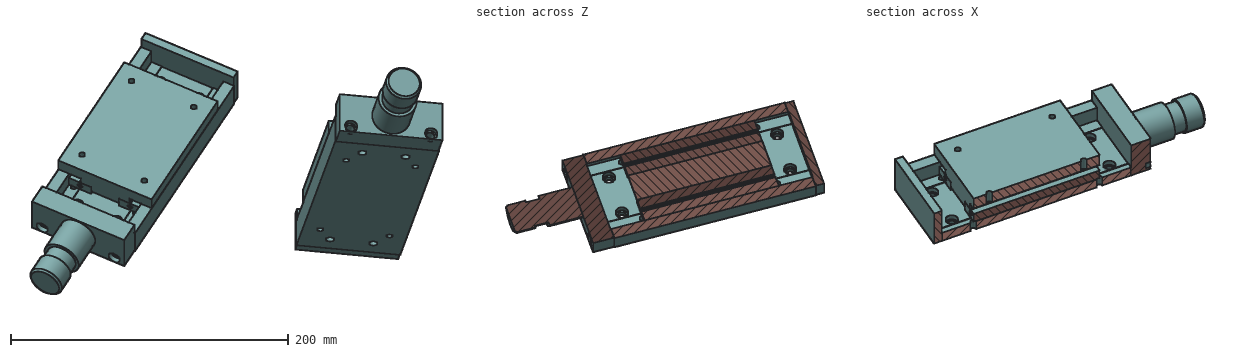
import cadquery as cq


base_width = 76.2
base_length = 152.4
base_height = 20.96
wall_inner_x = 29.36
ledge_inner_x = 20.95
ledge_z = 8.5
floor_z = 7.94
mount_hole_x = 15.875
mount_hole_y = 63.5
ledge_hole_x = 25.4
ledge_hole_y = 50.8
ledge_hole_diameter = 4.4

screw_hole_diameter = 6.0
screw_head_diameter = 9.0
screw_head_depth = 4.0

cover_width = 75.3
cover_height = 30.48
end_plate_thickness = 6.35
front_block_thickness = 15.875
block_screw_x = 29.4
block_screw_z = 4.76

table_width = base_width
table_length = 101.6
table_top_z = 31.75
table_thickness = 10.32
table_bottom_z = table_top_z - table_thickness
table_hole_x = 25.4
table_hole_y = 38.1
table_hole_diameter = 4.2
keel_half_width = 11.3
keel_bottom_z = 11.5

rail_height = 7.94
rail_bottom_z = ledge_z
rail_top_z = rail_bottom_z + rail_height
rail_mid_z = rail_bottom_z + rail_height / 2
rail_length = table_length
rail_gap = 1.2
inner_rail_outer_x = ledge_inner_x - rail_gap
groove_depth = 1.5

micrometer_axis_z = 15.4
sleeve_diameter = 28.0
sleeve_length = 25.4
neck_diameter = 23.0
neck_length = 10.16
thimble_diameter = 25.8
thimble_length = 15.24
thimble_chamfer = 1.5

base_front_y = -base_length / 2
base_back_y = base_length / 2
block_front_y = base_front_y - front_block_thickness


def block(x_min, x_max, y_min, y_max, z_min, z_max):
    """Rectangular block between the given limits."""
    size = (x_max - x_min, y_max - y_min, z_max - z_min)
    return cq.Workplane("XY").box(*size, centered=False).translate((x_min, y_min, z_min))


def four_corners(x, y):
    """Points mirrored about both the X and Y axes."""
    return [(side * x, end * y) for side in (-1, 1) for end in (-1, 1)]


def make_base():
    """Channel with a thick floor, two raised rail ledges and two side walls."""
    channel = block(-base_width / 2, base_width / 2, base_front_y, base_back_y, 0, base_height)
    upper_slot = block(-wall_inner_x, wall_inner_x, base_front_y, base_back_y, ledge_z, base_height)
    lower_slot = block(-ledge_inner_x, ledge_inner_x, base_front_y, base_back_y, floor_z, base_height)
    channel = channel.cut(upper_slot).cut(lower_slot)
    channel = (
        channel.copyWorkplane(cq.Workplane("XY", origin=(0, 0, floor_z)))
        .pushPoints(four_corners(mount_hole_x, mount_hole_y))
        .cboreHole(screw_hole_diameter, screw_head_diameter, screw_head_depth, floor_z)
    )
    return (
        channel.copyWorkplane(cq.Workplane("XY", origin=(0, 0, ledge_z)))
        .pushPoints(four_corners(ledge_hole_x, ledge_hole_y))
        .hole(ledge_hole_diameter, ledge_z)
    )


def make_end_plate():
    """Plain plate closing the back of the base."""
    back_y = base_back_y + end_plate_thickness
    return block(-cover_width / 2, cover_width / 2, base_back_y, back_y, 0, cover_height)


def make_front_block():
    """Block on the front of the base, with two counterbored screw holes."""
    body = block(-cover_width / 2, cover_width / 2, block_front_y, base_front_y, 0, cover_height)
    return (
        body.copyWorkplane(cq.Workplane("XZ", origin=(0, block_front_y, 0)))
        .pushPoints([(-block_screw_x, block_screw_z), (block_screw_x, block_screw_z)])
        .cboreHole(screw_hole_diameter, screw_head_diameter, screw_head_depth, front_block_thickness)
    )


def make_table():
    """Top plate with a stepped keel underneath that carries the inner rails."""
    half_width = table_width / 2
    half_length = table_length / 2
    plate = block(-half_width, half_width, -half_length, half_length, table_bottom_z, table_top_z)
    plate = (
        plate.copyWorkplane(cq.Workplane("XY", origin=(0, 0, table_top_z)))
        .pushPoints(four_corners(table_hole_x, table_hole_y))
        .hole(table_hole_diameter, table_thickness)
    )
    shoulder = block(
        -inner_rail_outer_x, inner_rail_outer_x, -half_length, half_length, rail_top_z, table_bottom_z
    )
    keel = block(
        -keel_half_width, keel_half_width, -half_length, half_length, keel_bottom_z, rail_top_z
    )
    return plate.union(shoulder).union(keel)


def make_rail(back_x, grooved_x):
    """Rail along Y with a right-angled V groove in its side at grooved_x."""
    inward = 1 if back_x > grooved_x else -1
    groove_root_x = grooved_x + inward * groove_depth
    return (
        cq.Workplane("XZ")
        .moveTo(back_x, rail_bottom_z)
        .lineTo(grooved_x, rail_bottom_z)
        .lineTo(grooved_x, rail_mid_z - groove_depth)
        .lineTo(groove_root_x, rail_mid_z)
        .lineTo(grooved_x, rail_mid_z + groove_depth)
        .lineTo(grooved_x, rail_top_z)
        .lineTo(back_x, rail_top_z)
        .close()
        .extrude(rail_length / 2, both=True)
    )


def make_micrometer():
    """Sleeve, neck and chamfered thimble in line along -Y."""
    return (
        cq.Workplane("XZ", origin=(0, block_front_y, micrometer_axis_z))
        .circle(sleeve_diameter / 2)
        .extrude(sleeve_length)
        .faces("<Y")
        .workplane()
        .circle(neck_diameter / 2)
        .extrude(neck_length)
        .faces("<Y")
        .workplane()
        .circle(thimble_diameter / 2)
        .extrude(thimble_length)
        .faces("<Y")
        .chamfer(thimble_chamfer)
    )


base = make_base()
end_plate = make_end_plate()
front_block = make_front_block()
table = make_table()
micrometer = make_micrometer()
outer_rails = [make_rail(side * wall_inner_x, side * ledge_inner_x) for side in (-1, 1)]
inner_rails = [make_rail(side * keel_half_width, side * inner_rail_outer_x) for side in (-1, 1)]

bodies = [base, end_plate, front_block, table, micrometer, *outer_rails, *inner_rails]
result = cq.Compound.makeCompound([body.val() for body in bodies])